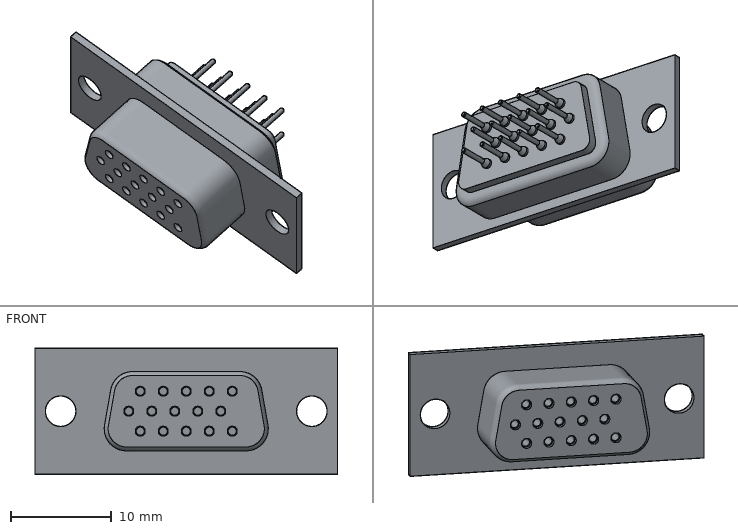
import cadquery as cq
import math

flange_width = 30.1
flange_height = 12.55
flange_thickness = 0.8
mount_hole_diameter = 3.0
mount_hole_offset = 12.5

side_slant = math.radians(10)
shell_corner_radius = 2.2

roll_long = 0.75
roll_short = 0.4
roll_radius = (roll_long**2 + roll_short**2) / (2 * roll_short)
roll_excess = roll_radius - roll_long

plug_half_width = 7.9
plug_height = 7.9
plug_length = 6.0

rear_half_width = 9.0
rear_height = 10.47
rear_length = 3.9

insulator_half_width = 7.65
insulator_height = plug_height
insulator_length = 1.0
insulator_corner_radius = 0.95

contacts_per_row = 5
contact_pitch = 2.3
row_spacing = 2.0
row_shifts = {-1: 0.0, 0: -contact_pitch / 2, 1: 0.0}

socket_mouth_diameter = 1.0
socket_bore_diameter = 0.8
socket_mouth_depth = 0.48
socket_depth = 3.0

pin_length = 4.0
pin_diameter = 0.5
pin_tip_chamfer = 0.1
collar_diameter = 1.0
collar_length = 0.25
collar_taper_end = 0.8

rear_start = flange_thickness
insulator_start = rear_start + rear_length
pin_start = insulator_start + insulator_length


def xz_plane(y):
    """Sketch plane facing +Y, with local x along -X and local y along +Z."""
    return cq.Workplane(cq.Plane(origin=(0, y, 0), xDir=(-1, 0, 0), normal=(0, 1, 0)))


def d_body(start_y, length, half_width, height, corner_radius):
    """Prism along Y with a D outline, wide at the bottom and round at its four corners."""
    half_height = height / 2
    spread = half_height * math.tan(side_slant)
    outline = [
        (-half_width - spread, -half_height),
        (half_width + spread, -half_height),
        (half_width - spread, half_height),
        (-half_width + spread, half_height),
    ]
    body = xz_plane(start_y).polyline(outline).close().extrude(length)
    return body.edges("|Y").fillet(corner_radius)


def contact_positions():
    """Centres (x, z) of all contacts."""
    centres = []
    for row, shift in row_shifts.items():
        for column in range(contacts_per_row):
            x = (column - (contacts_per_row - 1) / 2) * contact_pitch + shift
            centres.append((x, row * row_spacing))
    return centres


def flange():
    plate = xz_plane(0).rect(flange_width, flange_height).extrude(flange_thickness)
    holes = (
        xz_plane(0)
        .pushPoints([(-mount_hole_offset, 0), (mount_hole_offset, 0)])
        .circle(mount_hole_diameter / 2)
        .extrude(flange_thickness)
    )
    return plate.cut(holes)


def plug_shell():
    """Front shell whose rolled edge is tangent to its sides and cut off by the flat face."""
    full_length = plug_length + roll_excess
    shell = d_body(-full_length, full_length, plug_half_width, plug_height, shell_corner_radius)
    rounded = shell.faces("<Y").edges().fillet(roll_radius)
    return rounded.intersect(
        xz_plane(-plug_length).rect(flange_width, flange_height).extrude(plug_length)
    )


def rear_shell():
    """Rear shell whose rolled edge is tangent to its end face and cut off by the sides."""
    shell = d_body(rear_start, rear_length, rear_half_width, rear_height, shell_corner_radius)
    oversize = d_body(
        rear_start,
        rear_length,
        rear_half_width + roll_excess / math.cos(side_slant),
        rear_height + 2 * roll_excess,
        shell_corner_radius + roll_excess,
    )
    rounded = oversize.faces(">Y").edges().fillet(roll_radius)
    return rounded.intersect(shell)


def insulator():
    return d_body(
        insulator_start,
        insulator_length,
        insulator_half_width,
        insulator_height,
        insulator_corner_radius,
    )


def turned(profile):
    """Solid of revolution about the Y axis from (radius, y) points."""
    return cq.Workplane("XY").polyline(profile).close().revolve(360, (0, 0, 0), (0, 1, 0))


def pin():
    """Solder pin with a tapered collar at its root and a chamfered tip."""
    pin_radius = pin_diameter / 2
    collar_radius = collar_diameter / 2
    pin_end = pin_start + pin_length
    return turned([
        (0, pin_start),
        (collar_radius, pin_start),
        (collar_radius, pin_start + collar_length),
        (pin_radius, pin_start + collar_taper_end),
        (pin_radius, pin_end - pin_tip_chamfer),
        (pin_radius - pin_tip_chamfer, pin_end),
        (0, pin_end),
    ])


def socket():
    """Blind contact hole with a wider mouth, opening on the plug face."""
    mouth_radius = socket_mouth_diameter / 2
    bore_radius = socket_bore_diameter / 2
    return turned([
        (0, -plug_length),
        (mouth_radius, -plug_length),
        (mouth_radius, -plug_length + socket_mouth_depth),
        (bore_radius, -plug_length + socket_mouth_depth),
        (bore_radius, -plug_length + socket_depth),
        (0, -plug_length + socket_depth),
    ])


result = flange().union(plug_shell()).union(rear_shell()).union(insulator())
for x, z in contact_positions():
    result = result.union(pin().translate((x, 0, z)))
    result = result.cut(socket().translate((x, 0, z)))